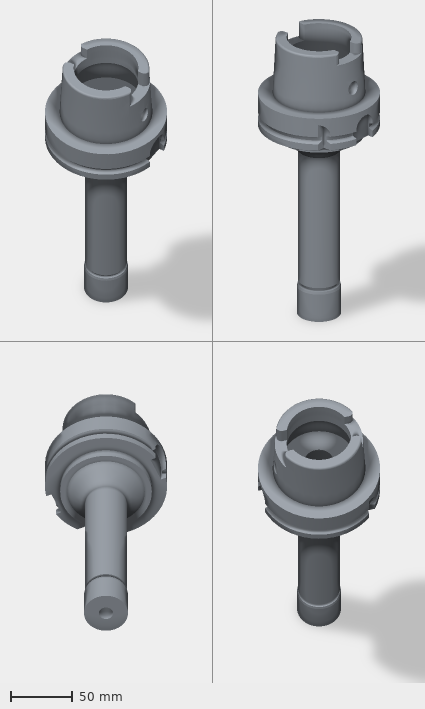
import cadquery as cq
import math

total_height = 250.0
flange_top = 200.0
flange_height = 29.0
flange_bottom = flange_top - flange_height
collar_bottom = 163.2
stem_top = 148.5
stem_bottom = 30.2
nut_height = 27.0
spigot_bottom = 5.0

shank_base_radius = 38.0
shank_length = total_height - flange_top
shank_taper = 1 / 20
shank_top_radius = shank_base_radius - shank_taper * shank_length
shank_edge_fillet = 1.8

cavity_radius = 26.5
undercut_top = total_height - 20.0
undercut_radius = 30.5
cavity_floor = total_height - 40.5

cross_hole_radius = 5.88
cross_hole_height = total_height - 34.5

drive_slot_width = 20.2
drive_slot_fillet = 4.0
near_drive_slot_depth = 10.0
far_drive_slot_depth = 14.5

flange_radius = 50.0
groove_root_radius = 46.2
groove_top = flange_top - 16.8
groove_root_top = groove_top - 1.2
groove_bottom = flange_top - 23.2
groove_root_bottom = groove_bottom + 1.8

keyway_floor = 44.2
near_keyway_width = 20.0
far_keyway_width = 22.0
keyway_arc_height = flange_top - 15.2
notch_floor = 32.0
notch_inner_side = 31.2
notch_width = 20.0

collar_radius = 37.5
neck_cone_radius = 31.8
stem_radius = 17.2
spigot_radius = 15.0

collet_radius = 12.0
collet_bore_radius = 5.88
collet_length = 34.0
nut_radius = 18.0
nut_rim_radius = 17.5
nut_rim_height = 2.2


def revolve_profile(points):
    """Turn a closed (radius, height) outline about the Z axis."""
    return cq.Workplane("XZ").polyline(points).close().revolve(360, (0, 0), (0, 1))


def cylinder(radius, bottom, top):
    return cq.Workplane("XY").workplane(offset=bottom).circle(radius).extrude(top - bottom)


def make_shank():
    """Tapered shank with drive slots of different depth at -X and +X."""
    shank = revolve_profile([
        (0, flange_top),
        (shank_base_radius, flange_top),
        (shank_top_radius, total_height),
        (0, total_height),
    ])
    shank = shank.faces(">Z").edges().fillet(shank_edge_fillet)
    for side, depth in ((-1, near_drive_slot_depth), (1, far_drive_slot_depth)):
        shank = shank.cut(make_drive_slot(side, depth))
    return shank


def make_drive_slot(side, depth):
    """Slot cutter whose side walls flare out in an arc to meet the taper."""
    floor = total_height - depth
    half_width = drive_slot_width / 2
    arc_y = half_width + drive_slot_fillet
    arc_x = math.sqrt((shank_top_radius - drive_slot_fillet) ** 2 - arc_y ** 2)
    reach = shank_top_radius / math.hypot(arc_x, arc_y)
    rim_x = arc_x * reach
    rim_y = arc_y * reach
    middle_angle = (math.atan2(arc_y, arc_x) - math.pi / 2) / 2
    middle_x = arc_x + drive_slot_fillet * math.cos(middle_angle)
    middle_y = arc_y + drive_slot_fillet * math.sin(middle_angle)
    return (
        cq.Workplane("XY").workplane(offset=floor)
        .moveTo(0, -half_width)
        .lineTo(side * arc_x, -half_width)
        .threePointArc((side * middle_x, -middle_y), (side * rim_x, -rim_y))
        .lineTo(side * flange_radius, -rim_y)
        .lineTo(side * flange_radius, rim_y)
        .lineTo(side * rim_x, rim_y)
        .threePointArc((side * middle_x, middle_y), (side * arc_x, half_width))
        .lineTo(0, half_width)
        .close()
        .extrude(depth)
    )


def make_keyway(side, floor, center_y, width):
    """Cutter for a round-topped keyway, open at the flange side and underside."""
    half_width = width / 2
    return (
        cq.Workplane("YZ", origin=(side * floor, center_y, 0))
        .moveTo(-half_width, flange_bottom)
        .lineTo(-half_width, keyway_arc_height)
        .threePointArc((0, keyway_arc_height + half_width), (half_width, keyway_arc_height))
        .lineTo(half_width, flange_bottom)
        .close()
        .extrude(side * flange_radius)
    )


def make_flange():
    """Grooved flange with two opposed keyways and an orientation notch."""
    flange = revolve_profile([
        (0, flange_bottom),
        (flange_radius, flange_bottom),
        (flange_radius, groove_bottom),
        (groove_root_radius, groove_root_bottom),
        (groove_root_radius, groove_root_top),
        (flange_radius, groove_top),
        (flange_radius, flange_top),
        (0, flange_top),
    ])
    notch_center = notch_inner_side + notch_width / 2
    return (
        flange
        .cut(make_keyway(-1, keyway_floor, 0, near_keyway_width))
        .cut(make_keyway(1, keyway_floor, 0, far_keyway_width))
        .cut(make_keyway(-1, notch_floor, notch_center, notch_width))
    )


def make_stem():
    """Collar, neck cone, stem and the spigot that carries the nut."""
    return revolve_profile([
        (0, spigot_bottom),
        (spigot_radius, spigot_bottom),
        (spigot_radius, stem_bottom),
        (stem_radius, stem_bottom),
        (stem_radius, stem_top),
        (neck_cone_radius, collar_bottom),
        (collar_radius, collar_bottom),
        (collar_radius, flange_bottom),
        (0, flange_bottom),
    ])


def make_cavity():
    return revolve_profile([
        (0, cavity_floor),
        (undercut_radius, cavity_floor),
        (undercut_radius, undercut_top),
        (cavity_radius, undercut_top),
        (cavity_radius, total_height),
        (0, total_height),
    ])


def make_holder():
    cross_hole = (
        cq.Workplane("YZ").center(0, cross_hole_height)
        .circle(cross_hole_radius).extrude(flange_radius, both=True)
    )
    return (
        make_shank()
        .union(make_flange())
        .union(make_stem())
        .cut(make_cavity())
        .cut(cross_hole)
        .cut(cylinder(collet_radius, spigot_bottom, cavity_floor))
    )


def make_nut():
    """Cup-shaped nut: fits around the spigot, its front lip around the collet."""
    return revolve_profile([
        (collet_radius, 0),
        (nut_radius, 0),
        (nut_radius, nut_height - nut_rim_height),
        (nut_rim_radius, nut_height),
        (spigot_radius, nut_height),
        (spigot_radius, spigot_bottom),
        (collet_radius, spigot_bottom),
    ])


def make_collet():
    return cylinder(collet_radius, 0, collet_length).cut(
        cylinder(collet_bore_radius, 0, collet_length)
    )


holder = make_holder()
nut = make_nut()
collet = make_collet()

bodies = [holder, nut, collet]
result = cq.Compound.makeCompound([body.solids().val() for body in bodies])